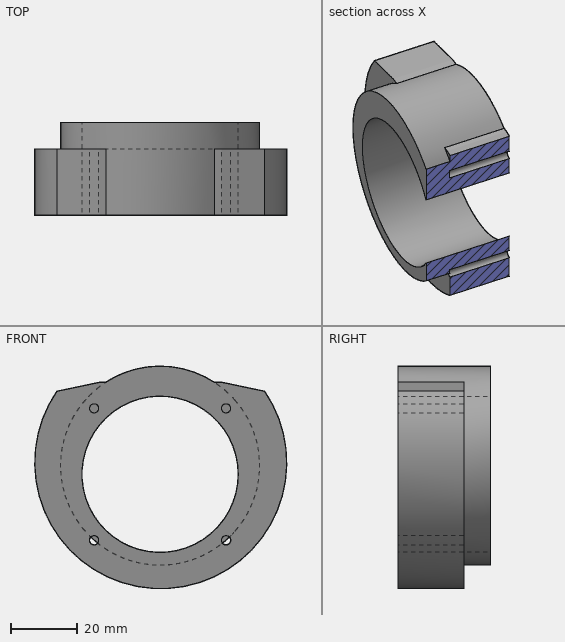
import cadquery as cq
import math

flange_depth = 20.0
total_depth = 28.0

bore_diameter = 47.0
collar_diameter = 60.0
collar_height = 2.6
flange_diameter = 76.0
flange_height = 3.5
flange_side_offset = 0.2

shoulder_height = 27.75
shoulder_half_width = 18.4
corner_half_width = 31.3

hole_diameter = 2.75
hole_circle_diameter = 56.2
hole_count = 4
first_hole_angle = 45


def front_plane():
    """XZ plane of the front face, with its normal along +Y and local y along -Z."""
    return cq.Workplane(cq.Plane(origin=(0, 0, 0), xDir=(1, 0, 0), normal=(0, 1, 0)))


def cylinder(diameter, depth, height=0.0):
    """Cylinder running back from the front face, its axis at the given height."""
    return front_plane().center(0, -height).circle(diameter / 2).extrude(depth)


def flange():
    """Round flange whose top is cut to a flat shoulder with two sloping sides."""
    radius = flange_diameter / 2
    corner_height = flange_height + math.sqrt(radius**2 - corner_half_width**2)
    bottom_height = flange_height - radius
    return (
        front_plane()
        .center(flange_side_offset, 0)
        .moveTo(-corner_half_width, -corner_height)
        .lineTo(-shoulder_half_width, -shoulder_height)
        .lineTo(shoulder_half_width, -shoulder_height)
        .lineTo(corner_half_width, -corner_height)
        .threePointArc((0, -bottom_height), (-corner_half_width, -corner_height))
        .close()
        .extrude(flange_depth)
    )


def screw_holes():
    """Four holes that reach through the flange and end level with its back face."""
    return (
        front_plane()
        .polarArray(hole_circle_diameter / 2, first_hole_angle, 360, hole_count)
        .circle(hole_diameter / 2)
        .extrude(flange_depth)
    )


collar = cylinder(collar_diameter, total_depth, collar_height)
bore = cylinder(bore_diameter, total_depth)

result = flange().union(collar).cut(bore).cut(screw_holes())